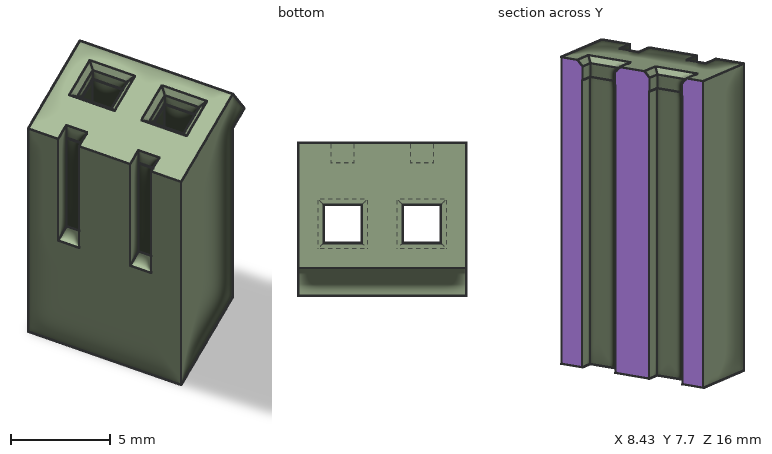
import cadquery as cq

width = 8.43
depth = 7.7
height = 16.0

latch_reach = 1.4
latch_height = 2.69
body_depth = depth - latch_reach

pitch = 3.97
contact_positions = (-pitch / 2, pitch / 2)

socket_size = 1.89
lead_in = 0.3
mouth_size = socket_size + 2 * lead_in
socket_y = 4.08

slot_width = 1.15
slot_depth = 1.0
slot_length = height / 2

top_wall = 1.02
relief = 0.03


def make_housing():
    """Side profile of the body and its latch ramp, extruded across the width."""
    profile = [
        (0, 0),
        (body_depth, 0),
        (body_depth, height - latch_height),
        (depth, height - latch_height),
        (body_depth, height),
        (0, height),
    ]
    return cq.Workplane("YZ").polyline(profile).close().extrude(width / 2, both=True)


def make_socket(x):
    """Square through hole, relieved below the top wall and flared at 45 degrees at its mouth."""
    relieved_size = socket_size + 2 * relief
    floor_plane = cq.Workplane("XY", origin=(x, socket_y, 0))
    bore = floor_plane.rect(socket_size, socket_size).extrude(height)
    relieved_bore = floor_plane.rect(relieved_size, relieved_size).extrude(height - top_wall)
    mouth = (
        cq.Workplane("XY", origin=(x, socket_y, height - lead_in))
        .rect(socket_size, socket_size)
        .workplane(offset=lead_in)
        .rect(mouth_size, mouth_size)
        .loft(combine=True)
    )
    return bore.union(relieved_bore).union(mouth)


def make_slot(x):
    """Front slot whose back wall steps slightly deeper below the top wall."""
    slot_bottom = height - slot_length
    step_height = height - top_wall
    relieved_depth = slot_depth + relief
    profile = [
        (0, slot_bottom),
        (relieved_depth, slot_bottom),
        (relieved_depth, step_height),
        (slot_depth, step_height),
        (slot_depth, height),
        (0, height),
    ]
    slot = cq.Workplane("YZ").polyline(profile).close().extrude(slot_width / 2, both=True)
    return slot.translate((x, 0, 0))


result = make_housing()
for contact_x in contact_positions:
    result = result.cut(make_socket(contact_x))
    result = result.cut(make_slot(contact_x))